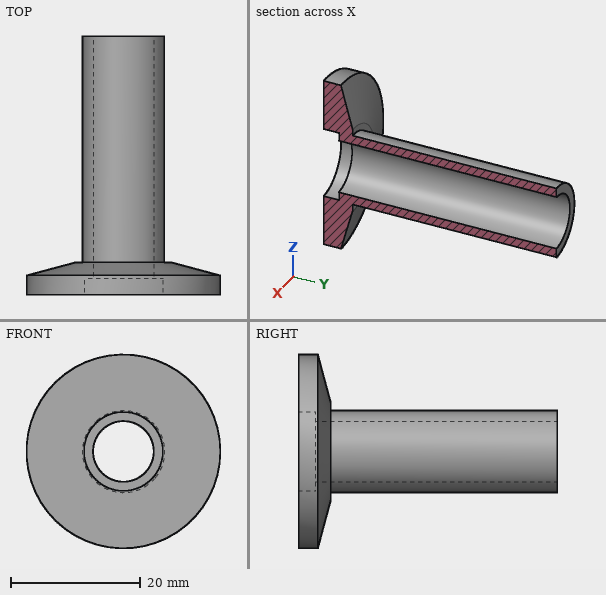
import cadquery as cq
import math

total_length = 40.0
flange_diameter = 30.0
flange_thickness = 5.0
cone_base_diameter = 15.0
cone_angle = 15.0
tube_diameter = 12.7
bore_diameter = 9.35
recess_diameter = 12.2
recess_depth = 2.6

cone_height = (flange_diameter - cone_base_diameter) / 2 * math.tan(math.radians(cone_angle))
rim_thickness = flange_thickness - cone_height


def make_body():
    """Solid tube and tapered flange, with the flange face on the XZ plane."""
    profile = (
        cq.Workplane("XY")
        .moveTo(0, 0)
        .lineTo(flange_diameter / 2, 0)
        .lineTo(flange_diameter / 2, rim_thickness)
        .lineTo(cone_base_diameter / 2, flange_thickness)
        .lineTo(tube_diameter / 2, flange_thickness)
        .lineTo(tube_diameter / 2, total_length)
        .lineTo(0, total_length)
        .close()
    )
    return profile.revolve(360, (0, 0, 0), (0, 1, 0))


def make_cutter(diameter, depth):
    """Cylinder reaching from the flange face into the part along +Y."""
    return cq.Workplane("XZ").circle(diameter / 2).extrude(-depth)


through_bore = make_cutter(bore_diameter, total_length)
face_recess = make_cutter(recess_diameter, recess_depth)

result = make_body().cut(through_bore).cut(face_recess)